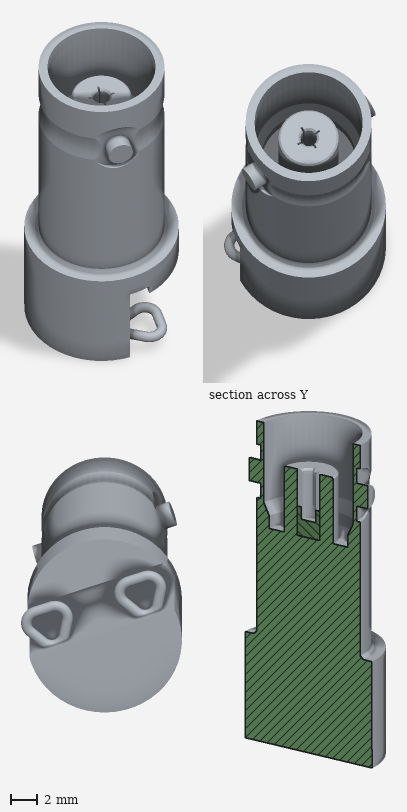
import cadquery as cq
import math

total_height = 26.0

base_diameter = 11.78
base_height = 8.67
cutaway_face_y = 0.63
cutaway_height = 6.07
trench_rear_y = 2.27
trench_top_z = 6.82

tube_diameter = 9.6
foot_cone_diameter = 10.15
foot_cone_height = 0.25

bayonet_z = 21.92
groove_width = 2.31
groove_depth = 0.155

stud_diameter = 1.91
stud_tip_x = 5.5
flat_diameter = 4.29
flat_x = 4.46

socket_diameter = 8.23
socket_floor_diameter = 7.23
socket_cone_top_z = 19.5
socket_cone_height = 1.0
socket_floor_z = 17.5

insulator_diameter = 4.57
insulator_top_z = 22.87
insulator_chamfer = 0.14

contact_diameter = 2.03
contact_length = insulator_top_z - socket_floor_z
contact_bore_diameter = 1.27
contact_bore_depth = 4.0
contact_lead_in = 0.16
contact_slot_width = 0.16
contact_slot_depth = 3.0

wire_diameter = 0.79
loop_corner_radius = 0.97
loop_side = 1.28
loop_outer_x = 4.4
loop_rear_y = 2.55
loop_z = 1.22


def cylinder(diameter, bottom_z, height):
    """Upright cylinder on the connector axis."""
    return cq.Workplane("XY").workplane(offset=bottom_z).circle(diameter / 2).extrude(height)


def make_base():
    """Collar whose rear half is cut away, with a trench across the cut's ceiling."""
    base = cylinder(base_diameter, 0, base_height)
    centred_on_x = (True, False, False)
    trench_width = trench_rear_y - cutaway_face_y
    cutaway = cq.Workplane("XY").box(base_diameter, base_diameter, cutaway_height, centered=centred_on_x)
    trench = cq.Workplane("XY").box(base_diameter, trench_width, trench_top_z, centered=centred_on_x)
    rear_space = cutaway.union(trench).translate((0, cutaway_face_y, 0))
    return base.cut(rear_space)


def make_tube():
    """Outside of the tube: foot cone, straight wall and the arc-shaped groove."""
    radius = tube_diameter / 2
    half_groove = groove_width / 2
    return (
        cq.Workplane("XZ")
        .moveTo(0, base_height)
        .lineTo(foot_cone_diameter / 2, base_height)
        .lineTo(radius, base_height + foot_cone_height)
        .lineTo(radius, bayonet_z - half_groove)
        .threePointArc((radius - groove_depth, bayonet_z), (radius, bayonet_z + half_groove))
        .lineTo(radius, total_height)
        .lineTo(0, total_height)
        .close()
        .revolve(360, (0, 0), (0, 1))
    )


def side_disc(diameter, start_x, end_x, side):
    """Cylinder along X at bayonet height, on the side given by the sign."""
    length = end_x - start_x
    start = cq.Vector(side * start_x, 0, bayonet_z)
    outward = cq.Vector(side, 0, 0)
    return cq.Workplane(cq.Solid.makeCylinder(diameter / 2, length, start, outward))


def make_socket():
    """Socket cavity: straight mouth, cone, and a narrower floor section."""
    mouth_radius = socket_diameter / 2
    floor_radius = socket_floor_diameter / 2
    return (
        cq.Workplane("XZ")
        .moveTo(0, socket_floor_z)
        .lineTo(floor_radius, socket_floor_z)
        .lineTo(floor_radius, socket_cone_top_z - socket_cone_height)
        .lineTo(mouth_radius, socket_cone_top_z)
        .lineTo(mouth_radius, total_height)
        .lineTo(0, total_height)
        .close()
        .revolve(360, (0, 0), (0, 1))
    )


def make_insulator():
    """Insulator post with a chamfered rim."""
    post = cylinder(insulator_diameter, socket_floor_z, insulator_top_z - socket_floor_z)
    return post.faces(">Z").chamfer(insulator_chamfer)


def make_wire_loop(side):
    """Closed loop of round wire: an equilateral triangle with rounded corners, lying flat."""
    inner_x = loop_outer_x - loop_side
    tip_x = loop_outer_x - loop_side / 2
    tip_y = loop_rear_y - loop_side * math.sqrt(3) / 2
    centres = [(-inner_x, loop_rear_y), (-loop_outer_x, loop_rear_y), (-tip_x, tip_y)]
    corner_angle = 120
    start_angle = 90 - corner_angle

    def on_arc(centre, angle):
        turn = math.radians(angle)
        return (
            centre[0] + loop_corner_radius * math.cos(turn),
            centre[1] + loop_corner_radius * math.sin(turn),
        )

    path = cq.Workplane("XY").workplane(offset=loop_z).moveTo(*on_arc(centres[0], start_angle))
    for corner, centre in enumerate(centres):
        first = start_angle + corner * corner_angle
        if corner > 0:
            path = path.lineTo(*on_arc(centre, first))
        path = path.threePointArc(
            on_arc(centre, first + corner_angle / 2), on_arc(centre, first + corner_angle)
        )
    path = path.close()

    start_point = on_arc(centres[0], start_angle)
    heading = math.radians(start_angle + 90)
    section_plane = cq.Plane(
        origin=(start_point[0], start_point[1], loop_z),
        xDir=(0, 0, 1),
        normal=(math.cos(heading), math.sin(heading), 0),
    )
    loop = cq.Workplane(section_plane).circle(wire_diameter / 2).sweep(path)
    return loop.mirror("YZ") if side > 0 else loop


def make_housing():
    """Base, tube, studs, insulator and wire loops as one solid, with a seat for the contact."""
    housing = make_base().union(make_tube())
    for side in (-1, 1):
        housing = housing.cut(side_disc(flat_diameter, flat_x, base_diameter, side))
        housing = housing.union(side_disc(stud_diameter, socket_diameter / 2, stud_tip_x, side))
        housing = housing.union(make_wire_loop(side))
    housing = housing.cut(make_socket()).union(make_insulator())
    seat = cylinder(contact_diameter, socket_floor_z, contact_length)
    return housing.cut(seat)


def make_contact():
    """Centre contact: blind bore with a lead-in, split by two crossing slots."""
    contact = cylinder(contact_diameter, socket_floor_z, contact_length)
    bore = cylinder(contact_bore_diameter, insulator_top_z - contact_bore_depth, contact_bore_depth)
    rim = cq.selectors.RadiusNthSelector(0)
    contact = contact.cut(bore).faces(">Z").edges(rim).chamfer(contact_lead_in)
    slot = (
        cq.Workplane("XY")
        .workplane(offset=insulator_top_z - contact_slot_depth)
        .rect(2 * contact_diameter, contact_slot_width)
        .extrude(contact_slot_depth)
    )
    for angle in (0, 90):
        contact = contact.cut(slot.rotate((0, 0, 0), (0, 0, 1), angle))
    return contact


housing = make_housing()
contact = make_contact()

result = cq.Compound.makeCompound([housing.solids().val(), contact.solids().val()])